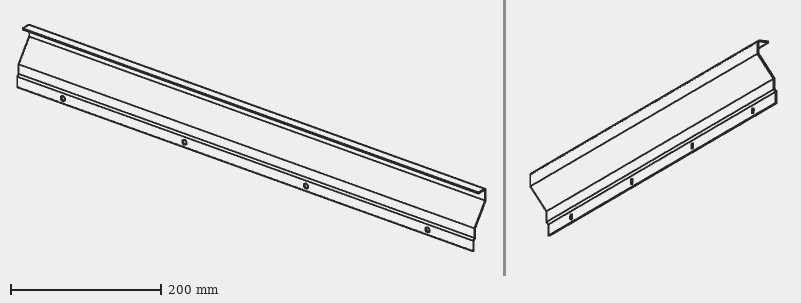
import cadquery as cq
import math

length = 762.0
depth = 28.0
height = 84.0
thickness = 2.0

lower_front = 0.0
middle_front = 2.9
upper_front = depth - thickness

jog_bottom = 16.0
jog_top = 19.0
slope_bottom = 33.5
slope_top = 65.5

lip_width = 16.0
bend_radius = 4.0

hole_diameter = 7.2
hole_count = 4
hole_height = 8.0
hole_end_margin = 76.0
hole_pitch = (length - 2 * hole_end_margin) / (hole_count - 1)


def bend_shift(run, rise):
    """Drop of the back bend below the front bend where an upright wall meets a slope."""
    return thickness * (math.hypot(run, rise) - rise) / run


def make_sheet():
    """Extrude the bent sheet section along X."""
    lip_front = depth - lip_width
    lip_underside = height - thickness
    slope_shift = bend_shift(upper_front - middle_front, slope_top - slope_bottom)
    jog_shift = bend_shift(middle_front - lower_front, jog_top - jog_bottom)

    front_bends = [
        (lower_front, jog_bottom, jog_shift),
        (middle_front, jog_top, jog_shift),
        (middle_front, slope_bottom, slope_shift),
        (upper_front, slope_top, slope_shift),
    ]
    front_points = [(y, z) for y, z, _ in front_bends]
    back_points = [(y + thickness, z - shift) for y, z, shift in front_bends]

    section = (
        cq.Workplane("YZ")
        .polyline([(lower_front, 0), *front_points, (upper_front, lip_underside)])
        .lineTo(lip_front, lip_underside)
        .lineTo(lip_front, height)
        .lineTo(depth, height)
    )
    for y, z in reversed(back_points):
        section = section.lineTo(y, z)
    sheet = section.lineTo(lower_front + thickness, 0).close().extrude(length)

    outer_corner = cq.selectors.NearestToPointSelector((length / 2, depth, height))
    return sheet.edges(outer_corner).fillet(bend_radius)


def make_hole_cutters():
    """Row of pins along Y, evenly spaced along the lower wall."""
    centers = [(hole_end_margin + i * hole_pitch, hole_height) for i in range(hole_count)]
    return (
        cq.Workplane("XZ")
        .pushPoints(centers)
        .circle(hole_diameter / 2)
        .extrude(depth, both=True)
    )


result = make_sheet().cut(make_hole_cutters())